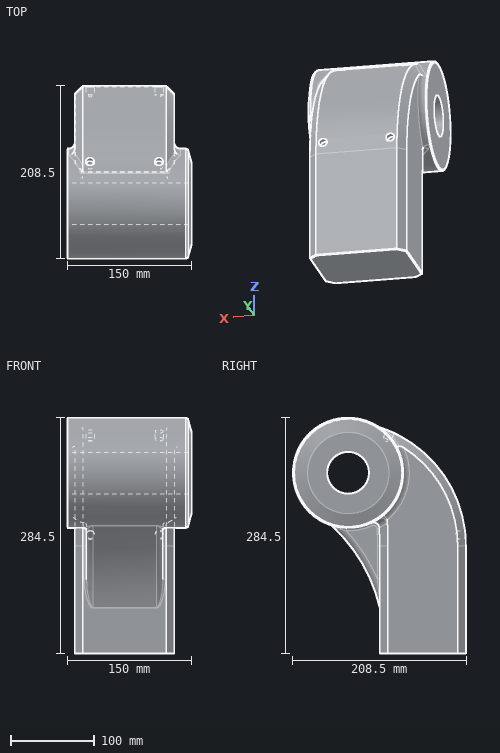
import cadquery as cq
import math


post_width = 120
post_depth = 104
post_chamfer = 10
bend_height = 130
back_radius = 150
back_bend_angle = 84
front_radius = 600
foot_chamfer = 1

hub_radius = 66.5
hub_height = 218
hub_overhang = 142
hub_left = -69
hub_rim = 74
hub_right = 81
left_edge = (1, 2)
rim_bevel = (2.5, 1.5)
nose_radius = 49
bore_diameter = 50

rib_width = 92
rib_radius = 193
rib_arc_reach = 150
rib_arc_height = 12
rib_end_reach = 40
rib_round = 8

post_hub_fillet = 7
rib_fillet = 3

hole_diameter = 10
hole_depth = 10
hole_point_angle = 118
hole_spacing = 83
hole_bend_angles = (5.4, 67)

contact_tolerance = 0.001

back_y = post_depth / 2
front_y = -post_depth / 2
hub_y = back_y - hub_overhang
bend_center_y = back_y - back_radius


def back_point(angle):
    """(Y, Z) on the bent back, at an angle in degrees from the start of the bend."""
    turn = math.radians(angle)
    return (bend_center_y + back_radius * math.cos(turn), bend_height + back_radius * math.sin(turn))


def front_point(height):
    """(Y, Z) on the slightly curved front above the bend height."""
    rise = height - bend_height
    drift = front_radius - math.sqrt(front_radius**2 - rise**2)
    return (front_y - drift, height)


def side_sketch(width):
    """YZ workplane whose extrusion by the same width is centred on X = 0."""
    return cq.Workplane("YZ", origin=(-width / 2, 0, 0))


def make_post():
    outline = (
        side_sketch(post_width)
        .moveTo(front_y, 0)
        .lineTo(back_y, 0)
        .lineTo(back_y, bend_height)
        .threePointArc(back_point(back_bend_angle / 2), back_point(back_bend_angle))
        .lineTo(hub_y, hub_height)
        .lineTo(*front_point(hub_height))
        .threePointArc(front_point((bend_height + hub_height) / 2), (front_y, bend_height))
        .close()
    )
    post = outline.extrude(post_width)
    post = post.edges("|Z").chamfer(post_chamfer)
    return post.faces("<Z").chamfer(foot_chamfer)


def make_hub():
    """Cylinder with a bevelled left end and a conical nose on the right."""
    profile = (
        cq.Workplane("XY")
        .moveTo(hub_left, 0)
        .lineTo(hub_left, hub_radius - left_edge[1])
        .lineTo(hub_left + left_edge[0], hub_radius)
        .lineTo(hub_rim, hub_radius)
        .lineTo(hub_rim + rim_bevel[0], hub_radius - rim_bevel[1])
        .lineTo(hub_right, nose_radius)
        .lineTo(hub_right, 0)
        .close()
    )
    hub = profile.revolve(360, (0, 0, 0), (1, 0, 0))
    return hub.translate((0, hub_y, hub_height))


def make_bore():
    bore = cq.Workplane("YZ", origin=(hub_left, hub_y, hub_height))
    return bore.circle(bore_diameter / 2).extrude(hub_right - hub_left)


def make_rib():
    """Gusset with a concave front and rounded front edges."""
    arc_y = hub_y - rib_arc_reach
    rib_end_y = hub_y - rib_end_reach
    block = (
        side_sketch(rib_width)
        .moveTo(0, 0)
        .lineTo(0, hub_height)
        .lineTo(rib_end_y, hub_height)
        .lineTo(rib_end_y, 0)
        .close()
        .extrude(rib_width)
    )
    hollow = side_sketch(rib_width).center(arc_y, rib_arc_height).circle(rib_radius).extrude(rib_width)
    rib = block.cut(hollow)
    return rib.edges("%CIRCLE").fillet(rib_round)


def touches(edge, solid):
    """True when the middle of the edge lies on the surface of the solid."""
    middle = cq.Vertex.makeVertex(*edge.positionAt(0.5).toTuple())
    return any(face.distance(middle) < contact_tolerance for face in solid.Faces())


def seam(body, first, second):
    """Edges of the body that lie on the surfaces of both given parts."""
    edges = [e for e in body.edges().vals() if touches(e, first.val()) and touches(e, second.val())]
    return body.newObject(edges)


def make_holes():
    """Drills with conical points, set square to the bent back."""
    drill_radius = hole_diameter / 2
    point_length = drill_radius / math.tan(math.radians(hole_point_angle / 2))
    drill = (
        cq.Workplane("XZ")
        .moveTo(0, hole_depth)
        .lineTo(drill_radius, hole_depth)
        .lineTo(drill_radius, -hole_depth)
        .lineTo(0, -hole_depth - point_length)
        .close()
        .revolve(360, (0, 0, 0), (0, 1, 0))
    )
    drills = cq.Workplane()
    for angle in hole_bend_angles:
        tilted = drill.rotate((0, 0, 0), (1, 0, 0), angle - 90)
        for x in (-hole_spacing / 2, hole_spacing / 2):
            drills = drills.add(tilted.translate((x, *back_point(angle))))
    return drills.combine()


def join(first, second, radius):
    """Unite two parts and round the inside corner where they meet."""
    united = first.union(second)
    return seam(united, first, second).fillet(radius)


body = join(make_post(), make_hub(), post_hub_fillet)
body = join(body, make_rib(), rib_fillet)
body = body.cut(make_holes())
result = body.cut(make_bore())